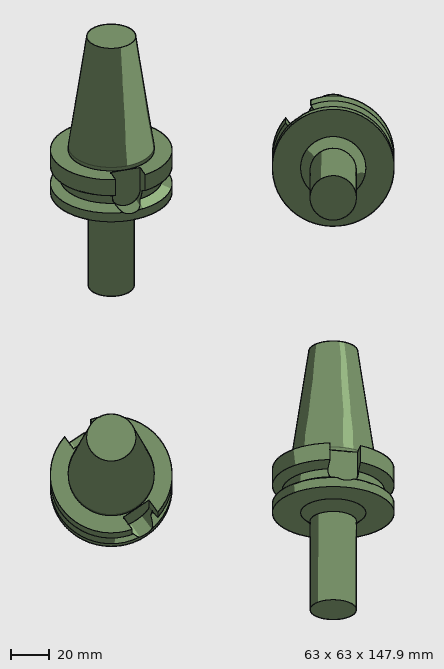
import cadquery as cq
import math

total_length = 147.9

taper_length = 65.4
taper_top_diameter = 25.5
gauge_diameter = 44.5
collar_height = 2.0

flange_diameter = 63.0
flange_height = 25.0
upper_rim_height = 9.5
lower_rim_height = 5.2
groove_diameter = 53.0
groove_wall_angle = 30.0

shank_diameter = 24.0
neck_height = 4.9

slot_width = 16.1
slot_depth = 21.0
slot_floor_offset = 22.5

flange_radius = flange_diameter / 2
groove_radius = groove_diameter / 2
gauge_radius = gauge_diameter / 2
shank_radius = shank_diameter / 2
gauge_z = total_length - taper_length
flange_top_z = gauge_z - collar_height
flange_bottom_z = flange_top_z - flange_height
upper_rim_z = flange_top_z - upper_rim_height
lower_rim_z = flange_bottom_z + lower_rim_height
groove_wall_height = (flange_radius - groove_radius) * math.tan(math.radians(groove_wall_angle))


def make_turned_body():
    """Revolve the half profile (radius, height) about Z."""
    profile = [
        (0, 0),
        (shank_radius, 0),
        (shank_radius, flange_bottom_z - neck_height),
        (shank_radius + neck_height, flange_bottom_z),
        (flange_radius, flange_bottom_z),
        (flange_radius, lower_rim_z),
        (groove_radius, lower_rim_z + groove_wall_height),
        (groove_radius, upper_rim_z - groove_wall_height),
        (flange_radius, upper_rim_z),
        (flange_radius, flange_top_z),
        (gauge_radius, flange_top_z),
        (gauge_radius, gauge_z),
        (taper_top_diameter / 2, total_length),
        (0, total_length),
    ]
    return cq.Workplane("XZ").polyline(profile).close().revolve(360, (0, 0), (0, 1))


def make_drive_slot(side):
    """Round-bottomed slot cutter; side is +1 for +X and -1 for -X."""
    half_width = slot_width / 2
    slot_bottom_z = flange_top_z - slot_depth
    arc_start_z = slot_bottom_z + half_width
    return (
        cq.Workplane("YZ", origin=(side * slot_floor_offset, 0, 0))
        .moveTo(-half_width, flange_top_z)
        .lineTo(-half_width, arc_start_z)
        .threePointArc((0, slot_bottom_z), (half_width, arc_start_z))
        .lineTo(half_width, flange_top_z)
        .close()
        .extrude(side * flange_radius)
    )


result = make_turned_body()
for slot_side in (-1, 1):
    result = result.cut(make_drive_slot(slot_side))